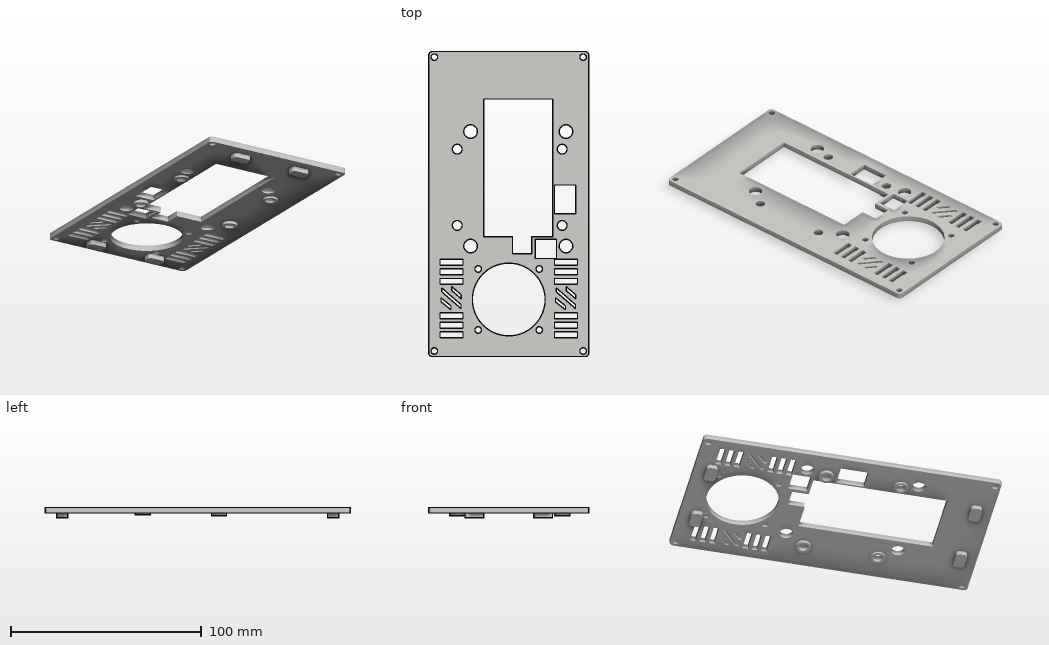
import cadquery as cq

PLATE_WIDTH = 84.0
PLATE_LENGTH = 160.0
PLATE_THICKNESS = 3.0
CORNER_RADIUS = 2.0

CORNER_HOLE_DIAMETER = 3.3
CORNER_HOLE_INSET = 3.0

DISPLAY_WINDOW = (-13.0, 23.0, -17.0, 55.0)
CABLE_NOTCH = (2.0, 12.0, -26.0, DISPLAY_WINDOW[2])
SQUARE_OPENING = (14.0, 25.0, -28.5, -18.5)
SWITCH_OPENING = (24.0, 35.0, -5.0, 10.0)

LARGE_HOLE_DIAMETER = 7.0
LARGE_HOLE_X = (-20.0, 30.0)
LARGE_HOLE_Y = (-22.0, 38.0)

STANDOFF_DIAMETER = 8.0
STANDOFF_HOLE_DIAMETER = 5.0
STANDOFF_X = (-27.0, 28.0)
LOWER_STANDOFF_Y = -11.2
UPPER_STANDOFF_Y = 28.8
LOWER_STANDOFF_HEIGHT = 1.5
UPPER_STANDOFF_HEIGHT = 1.0

BLOCK_WIDTH = 10.0
BLOCK_LENGTH = 6.0
BLOCK_HEIGHT = 2.5
BLOCK_CORNER_RADIUS = 2.0
BLOCK_X = 18.0
BLOCK_Y = 71.0

FAN_Y = -50.0
FAN_DIAMETER = 38.0
FAN_SCREW_SPACING = 32.0
FAN_SCREW_DIAMETER = 3.3

VENT_X = 30.0
VENT_Y = -49.5
SLOT_WIDTH = 12.0
SLOT_HEIGHT = 3.0
SLOT_PITCH = 5.0
SLOTS_PER_GROUP = 3
SLOT_GROUP_OFFSET = 14.0

SLANT_HEIGHT = 2.0
UPPER_SLANT = (0.2, -44.35, 5.1, -48.6)
LONG_SLANT = (-5.0, -45.05, 4.9, -53.65)
LOWER_SLANT = (-5.4, -50.25, -0.3, -54.35)


def grid(x_values, y_values):
    """Every pairing of the given X and Y positions."""
    return [(x, y) for x in x_values for y in y_values]


def round_cutters(points, diameter, depth_below=0.0):
    """Cylinders through the plate, reaching depth_below under its underside."""
    start = cq.Workplane("XY").workplane(offset=-depth_below)
    return start.pushPoints(points).circle(diameter / 2).extrude(PLATE_THICKNESS + depth_below)


def rectangle_cutter(left, right, bottom, top):
    """Box through the plate between the given edges."""
    size = (right - left, top - bottom, PLATE_THICKNESS)
    return cq.Workplane("XY").box(*size, centered=False).translate((left, bottom, 0))


def slant_cutter(left, left_y, right, right_y):
    """Slanted slot through the plate: a parallelogram with vertical ends."""
    half_height = SLANT_HEIGHT / 2
    corners = [
        (left, left_y - half_height),
        (right, right_y - half_height),
        (right, right_y + half_height),
        (left, left_y + half_height),
    ]
    return cq.Workplane("XY").polyline(corners).close().extrude(PLATE_THICKNESS)


def make_plate():
    plate = cq.Workplane("XY").rect(PLATE_WIDTH, PLATE_LENGTH).extrude(PLATE_THICKNESS)
    plate = plate.edges("|Z").fillet(CORNER_RADIUS)
    hole_x = PLATE_WIDTH / 2 - CORNER_HOLE_INSET
    hole_y = PLATE_LENGTH / 2 - CORNER_HOLE_INSET
    corners = grid((-hole_x, hole_x), (-hole_y, hole_y))
    return plate.cut(round_cutters(corners, CORNER_HOLE_DIAMETER))


def add_locating_blocks(part):
    points = grid((-BLOCK_X, BLOCK_X), (-BLOCK_Y, BLOCK_Y))
    blocks = cq.Workplane("XY").pushPoints(points).rect(BLOCK_WIDTH, BLOCK_LENGTH).extrude(-BLOCK_HEIGHT)
    return part.union(blocks.edges("|Z").fillet(BLOCK_CORNER_RADIUS))


def add_standoffs(part, y, height):
    points = grid(STANDOFF_X, (y,))
    posts = cq.Workplane("XY").pushPoints(points).circle(STANDOFF_DIAMETER / 2).extrude(-height)
    return part.union(posts).cut(round_cutters(points, STANDOFF_HOLE_DIAMETER, height))


def cut_openings(part):
    for edges in (DISPLAY_WINDOW, CABLE_NOTCH, SQUARE_OPENING, SWITCH_OPENING):
        part = part.cut(rectangle_cutter(*edges))
    return part.cut(round_cutters(grid(LARGE_HOLE_X, LARGE_HOLE_Y), LARGE_HOLE_DIAMETER))


def cut_fan_mount(part):
    part = part.cut(round_cutters([(0, FAN_Y)], FAN_DIAMETER))
    reach = FAN_SCREW_SPACING / 2
    screws = grid((-reach, reach), (FAN_Y - reach, FAN_Y + reach))
    return part.cut(round_cutters(screws, FAN_SCREW_DIAMETER))


def cut_vent(part, center_x):
    left = center_x - SLOT_WIDTH / 2
    right = center_x + SLOT_WIDTH / 2
    for group_y in (VENT_Y - SLOT_GROUP_OFFSET, VENT_Y + SLOT_GROUP_OFFSET):
        for index in range(SLOTS_PER_GROUP):
            slot_y = group_y + (index - (SLOTS_PER_GROUP - 1) / 2) * SLOT_PITCH
            bottom = slot_y - SLOT_HEIGHT / 2
            part = part.cut(rectangle_cutter(left, right, bottom, bottom + SLOT_HEIGHT))

    for slant in (UPPER_SLANT, LONG_SLANT, LOWER_SLANT):
        part = part.cut(slant_cutter(*slant).translate((center_x, 0, 0)))
    return part


result = make_plate()
result = add_locating_blocks(result)
result = add_standoffs(result, LOWER_STANDOFF_Y, LOWER_STANDOFF_HEIGHT)
result = add_standoffs(result, UPPER_STANDOFF_Y, UPPER_STANDOFF_HEIGHT)
result = cut_openings(result)
result = cut_fan_mount(result)
for vent_x in (-VENT_X, VENT_X):
    result = cut_vent(result, vent_x)